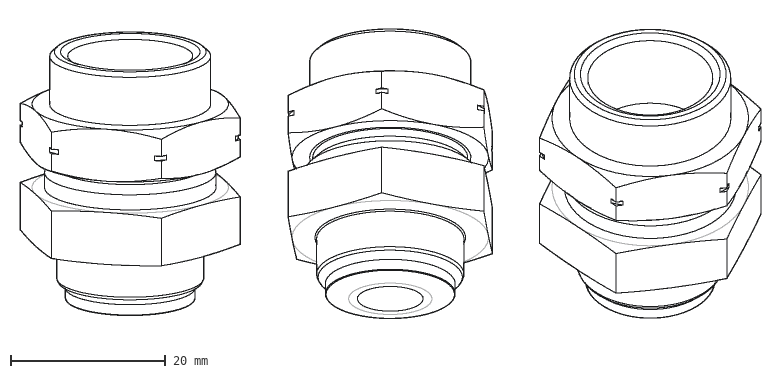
import cadquery as cq
import math

across_flats = 25.4
flat_radius = across_flats / 2
across_corners = across_flats / math.cos(math.radians(30))
hex_height = 6.98

collar_diameter = 16.8
collar_face_diameter = 10.8
collar_cone_height = 0.6
collar_edge = 0.1
collar_top = 2.1
neck_diameter = 10.3
neck_foot_diameter = 10.5
neck_foot_height = 0.3

barrel_diameter = 19.07
barrel_bottom = 3.0
barrel_chamfer_width = 0.2
barrel_chamfer_height = 0.4
barrel_flare_width = 0.2

body_hex_bottom = 8.55
body_hex_top = body_hex_bottom + hex_height
body_hex_chamfer_drop = 0.3
shoulder_diameter = 22.2
shoulder_top = 17.55
undercut_diameter = 20.05
shoulder_cone_height = (shoulder_diameter - undercut_diameter) / 2

total_height = 33.7
thread_diameter = 20.85
thread_chamfer_width = 0.6
thread_chamfer_height = 0.57
nut_bottom = 19.7
nut_chamfer_drop = 0.88
groove_height = 0.6
groove_depth = 0.45

socket_mouth_diameter = 18.05
socket_diameter = 16.18
socket_mouth_depth = 0.55
socket_floor = 23.32
socket_taper = 1 / 16
bore_diameter = 8.5
bore_chamfer = 0.35


def revolve_profile(points):
    """Revolve a closed (radius, height) outline about Z."""
    return cq.Workplane("XZ").polyline(points).close().revolve(360, (0, 0), (0, 1))


def chamfered_hex(bottom, corner_drop):
    """Hexagonal prism with conical chamfers that lower each corner by corner_drop."""
    top = bottom + hex_height
    corner_radius = across_corners / 2
    prism = cq.Workplane("XY").workplane(offset=bottom).polygon(6, across_corners).extrude(hex_height)
    envelope = revolve_profile([
        (0, bottom),
        (flat_radius, bottom),
        (corner_radius, bottom + corner_drop),
        (corner_radius, top - corner_drop),
        (flat_radius, top),
        (0, top),
    ])
    return prism.intersect(envelope)


def make_turned_outline():
    """Outer round surfaces of the fitting, from the collar to the threaded end."""
    collar_radius = collar_diameter / 2
    neck_radius = neck_diameter / 2
    barrel_radius = barrel_diameter / 2
    undercut_radius = undercut_diameter / 2
    shoulder_radius = shoulder_diameter / 2
    thread_radius = thread_diameter / 2
    barrel_flare_radius = barrel_radius + barrel_flare_width
    return revolve_profile([
        (0, 0),
        (collar_face_diameter / 2, 0),
        (collar_radius - collar_edge, collar_cone_height),
        (collar_radius, collar_cone_height + collar_edge),
        (collar_radius, collar_top),
        (neck_foot_diameter / 2, collar_top),
        (neck_radius, collar_top + neck_foot_height),
        (neck_radius, barrel_bottom),
        (barrel_radius - barrel_chamfer_width, barrel_bottom),
        (barrel_radius, barrel_bottom + barrel_chamfer_height),
        (barrel_radius, body_hex_bottom - barrel_flare_width),
        (barrel_flare_radius, body_hex_bottom),
        (barrel_flare_radius, body_hex_top),
        (shoulder_radius, body_hex_top),
        (shoulder_radius, shoulder_top),
        (undercut_radius, shoulder_top + shoulder_cone_height),
        (undercut_radius, nut_bottom),
        (thread_radius, nut_bottom),
        (thread_radius, total_height - thread_chamfer_height),
        (thread_radius - thread_chamfer_width, total_height),
        (0, total_height),
    ])


def make_inner_passage():
    """Tapered socket from the top, running into the through bore."""
    socket_top = total_height - socket_mouth_depth
    floor_diameter = socket_diameter - socket_taper * (socket_top - socket_floor)
    bore_radius = bore_diameter / 2
    return revolve_profile([
        (0, 0),
        (bore_radius, 0),
        (bore_radius, socket_floor - bore_chamfer),
        (bore_radius + bore_chamfer, socket_floor),
        (floor_diameter / 2, socket_floor),
        (socket_diameter / 2, socket_top),
        (socket_mouth_diameter / 2, total_height),
        (0, total_height),
    ])


def make_fitting():
    hexagon = chamfered_hex(body_hex_bottom, body_hex_chamfer_drop)
    return make_turned_outline().union(hexagon).cut(make_inner_passage())


def make_nut():
    """Hexagon nut with a shallow groove that notches its corners at mid height."""
    hexagon = chamfered_hex(nut_bottom, nut_chamfer_drop)
    hole = cq.Workplane("XY").workplane(offset=nut_bottom).circle(thread_diameter / 2).extrude(hex_height)
    groove_bottom = nut_bottom + (hex_height - groove_height) / 2
    groove = (
        cq.Workplane("XY")
        .workplane(offset=groove_bottom)
        .circle(across_corners / 2)
        .circle(across_corners / 2 - groove_depth)
        .extrude(groove_height)
    )
    return hexagon.cut(hole).cut(groove)


fitting = make_fitting()
nut = make_nut()
result = cq.Compound.makeCompound([fitting.solids().val(), nut.solids().val()])